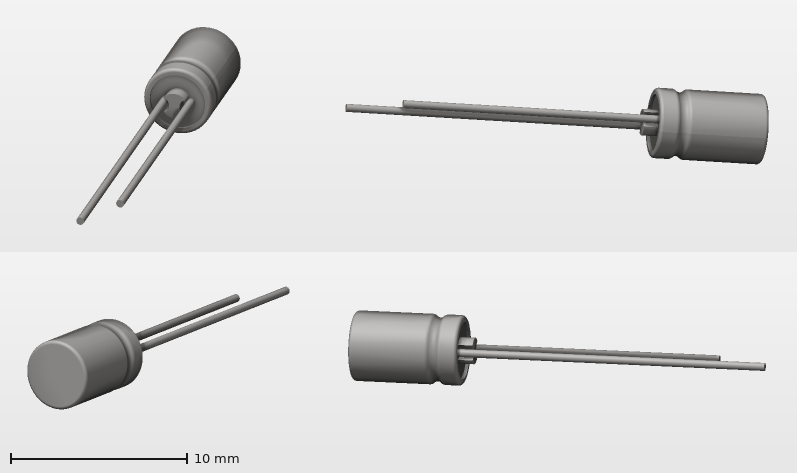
import cadquery as cq
import math

TOTAL_LENGTH = 24.0
CAN_DIAMETER = 4.0
CAN_LENGTH = 6.3
EDGE_FILLET = 0.2
OPENING_RADIUS = 1.63
CAN_RADIUS = CAN_DIAMETER / 2

GROOVE_Y = 1.42
GROOVE_DEPTH = 0.2
GROOVE_FLOOR_RADIUS = 0.35
GROOVE_LIP_RADIUS = 0.3

STRIPE_ANGLE = 60.0

SEAL_SETBACK = 0.2
SEAL_INNER_Y = GROOVE_Y
BOSS_PROJECTION = 0.65

LEAD_DIAMETER = 0.45
LEAD_SPACING = 1.5
SHORT_LEAD_PROJECTION = 14.7
LONG_LEAD_PROJECTION = TOTAL_LENGTH - CAN_LENGTH
LEAD_OFFSET = LEAD_SPACING / 2
LEAD_RADIUS = LEAD_DIAMETER / 2
BOSS_RADIUS = LEAD_OFFSET
SCALLOP_RADIUS = LEAD_DIAMETER


def rod(radius, start_y, end_y, x=0.0):
    """Cylinder along Y, centred at the given X."""
    return (
        cq.Workplane("XZ", origin=(x, end_y, 0))
        .circle(radius)
        .extrude(end_y - start_y)
    )


def make_can_envelope():
    """Solid of revolution with rounded ends and the crimp groove."""
    centre_distance = GROOVE_FLOOR_RADIUS + GROOVE_LIP_RADIUS
    centre_rise = centre_distance - GROOVE_DEPTH
    half_width = math.sqrt(centre_distance**2 - centre_rise**2)
    lip_angle = math.asin(half_width / centre_distance)
    lip_centre_r = CAN_RADIUS - GROOVE_LIP_RADIUS
    floor_r = CAN_RADIUS - GROOVE_DEPTH
    blend_r = lip_centre_r + GROOVE_LIP_RADIUS * math.cos(lip_angle)
    blend_dy = half_width - GROOVE_LIP_RADIUS * math.sin(lip_angle)
    lip_mid_r = lip_centre_r + GROOVE_LIP_RADIUS * math.cos(lip_angle / 2)
    lip_mid_dy = half_width - GROOVE_LIP_RADIUS * math.sin(lip_angle / 2)

    profile = (
        cq.Workplane("XY")
        .lineTo(CAN_RADIUS, 0)
        .lineTo(CAN_RADIUS, GROOVE_Y - half_width)
        .threePointArc((lip_mid_r, GROOVE_Y - lip_mid_dy), (blend_r, GROOVE_Y - blend_dy))
        .threePointArc((floor_r, GROOVE_Y), (blend_r, GROOVE_Y + blend_dy))
        .threePointArc((lip_mid_r, GROOVE_Y + lip_mid_dy), (CAN_RADIUS, GROOVE_Y + half_width))
        .lineTo(CAN_RADIUS, CAN_LENGTH)
        .lineTo(0, CAN_LENGTH)
        .close()
    )
    envelope = profile.revolve(360, (0, 0, 0), (0, 1, 0))
    return envelope.faces("<Y or >Y").edges().fillet(EDGE_FILLET)


def make_stripe_sector():
    """Wedge around +X, outside the opening radius, over the whole can length."""
    half_angle = math.radians(STRIPE_ANGLE / 2)
    reach = 2 * CAN_RADIUS
    half_reach = reach * math.tan(half_angle)
    wedge = (
        cq.Workplane("XZ", origin=(0, CAN_LENGTH, 0))
        .polyline([(0, 0), (reach, -half_reach), (reach, half_reach)])
        .close()
        .extrude(CAN_LENGTH)
    )
    return wedge.cut(rod(OPENING_RADIUS, 0, CAN_LENGTH))


def make_can(envelope, sector):
    opening = rod(OPENING_RADIUS, 0, SEAL_INNER_Y)
    return envelope.cut(opening).cut(sector)


def make_stripe(envelope, sector):
    return envelope.intersect(sector)


def make_seal():
    """Disc and boss in one piece, scalloped and drilled for the leads."""
    seal = rod(OPENING_RADIUS, SEAL_SETBACK, SEAL_INNER_Y)
    boss = rod(BOSS_RADIUS, -BOSS_PROJECTION, SEAL_SETBACK)
    for x in (-LEAD_OFFSET, LEAD_OFFSET):
        boss = boss.cut(rod(SCALLOP_RADIUS, -BOSS_PROJECTION, SEAL_SETBACK, x))
    seal = seal.union(boss)
    for x in (-LEAD_OFFSET, LEAD_OFFSET):
        seal = seal.cut(rod(LEAD_RADIUS, SEAL_SETBACK, SEAL_INNER_Y, x))
    return seal


def make_lead(x, projection):
    return rod(LEAD_RADIUS, -projection, SEAL_INNER_Y, x)


can_envelope = make_can_envelope()
stripe_sector = make_stripe_sector()
can = make_can(can_envelope, stripe_sector)
stripe = make_stripe(can_envelope, stripe_sector)
seal = make_seal()

leads = []
for lead_x, lead_projection in (
    (-LEAD_OFFSET, LONG_LEAD_PROJECTION),
    (LEAD_OFFSET, SHORT_LEAD_PROJECTION),
):
    leads.append(make_lead(lead_x, lead_projection).val())

result = cq.Compound.makeCompound([can.val(), stripe.val(), seal.val(), *leads])